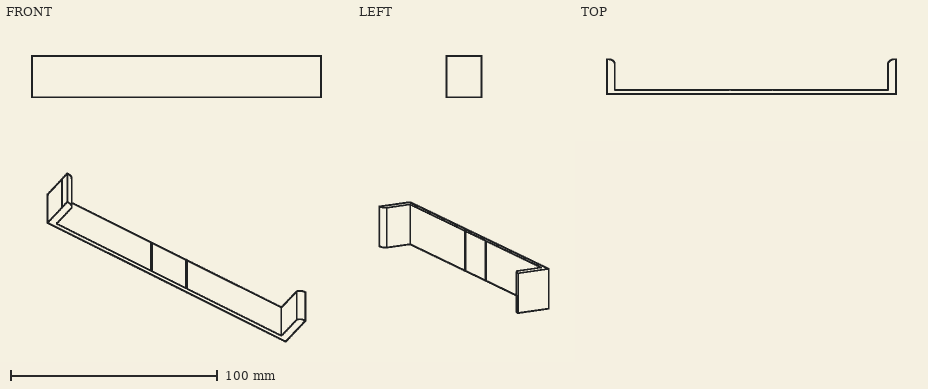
import cadquery as cq
import math

length = 140.0
depth = 17.0
height = 20.0

bar_thickness = 2.1
arm_thickness = 3.9

tip_flat = 0.7
tip_radius = 3.6

pad_height = 0.07
pad_length = 4.5

rib_width = 0.8
rib_height = 0.07
rib_spacing = 20.7

outer_x = (length - pad_height) / 2
inner_x = outer_x - arm_thickness
flat_end_x = outer_x - tip_flat
arc_width = arm_thickness - tip_flat


def tip_y(inset):
    """Y of the tip arc at a distance inward from the end of the flat."""
    return depth - tip_radius + math.sqrt(tip_radius**2 - inset**2)


def make_handle():
    """U profile in plan, extruded to the full height."""
    arc_middle_x = flat_end_x - arc_width / 2
    arc_middle_y = tip_y(arc_width / 2)
    arc_end_y = tip_y(arc_width)
    return (
        cq.Workplane("XY")
        .moveTo(-outer_x, 0)
        .lineTo(outer_x, 0)
        .lineTo(outer_x, depth)
        .lineTo(flat_end_x, depth)
        .threePointArc((arc_middle_x, arc_middle_y), (inner_x, arc_end_y))
        .lineTo(inner_x, bar_thickness)
        .lineTo(-inner_x, bar_thickness)
        .lineTo(-inner_x, arc_end_y)
        .threePointArc((-arc_middle_x, arc_middle_y), (-flat_end_x, depth))
        .lineTo(-outer_x, depth)
        .close()
        .extrude(height)
    )


def make_pad():
    return (
        cq.Workplane("XY")
        .box(pad_height, pad_length, height, centered=False)
        .translate((outer_x, depth - pad_length, 0))
    )


def make_rib(x):
    return (
        cq.Workplane("XY")
        .box(rib_width, rib_height, height, centered=(True, False, False))
        .translate((x, bar_thickness, 0))
    )


result = make_handle().union(make_pad())
for side in (-1, 1):
    result = result.union(make_rib(side * rib_spacing / 2))